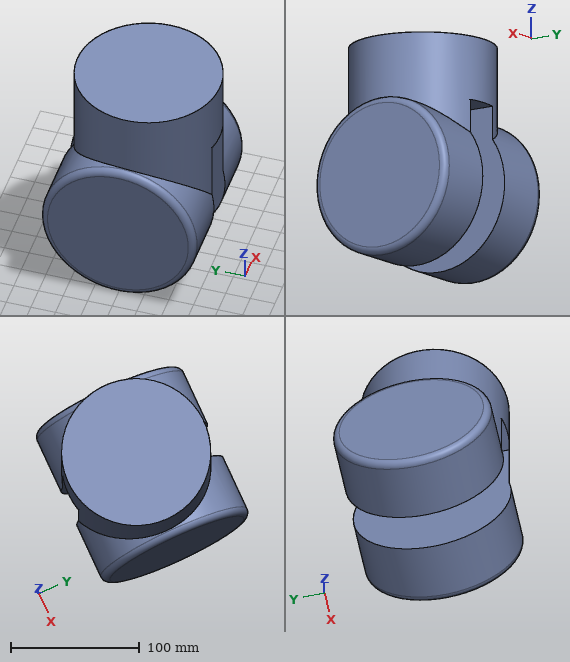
import cadquery as cq

total_height = 176.3
wheel_diameter = 125.5
overall_width = 129.0
wheel_edge_radius = 5.5
stem_diameter = 116.0
stem_offset = 5.1
slot_width = 29.0

wheel_radius = wheel_diameter / 2
slot_height = wheel_diameter

wheels = (
    cq.Workplane("YZ")
    .center(0, wheel_radius)
    .circle(wheel_radius)
    .extrude(overall_width / 2, both=True)
    .edges("%CIRCLE")
    .fillet(wheel_edge_radius)
)

stem = (
    cq.Workplane("XY", origin=(0, -stem_offset, wheel_radius))
    .circle(stem_diameter / 2)
    .extrude(total_height - wheel_radius)
)

slot_length = 2 * wheel_diameter
slot = cq.Workplane("XY").box(slot_width, slot_length, slot_height, centered=(True, True, False))

result = wheels.union(stem).cut(slot)